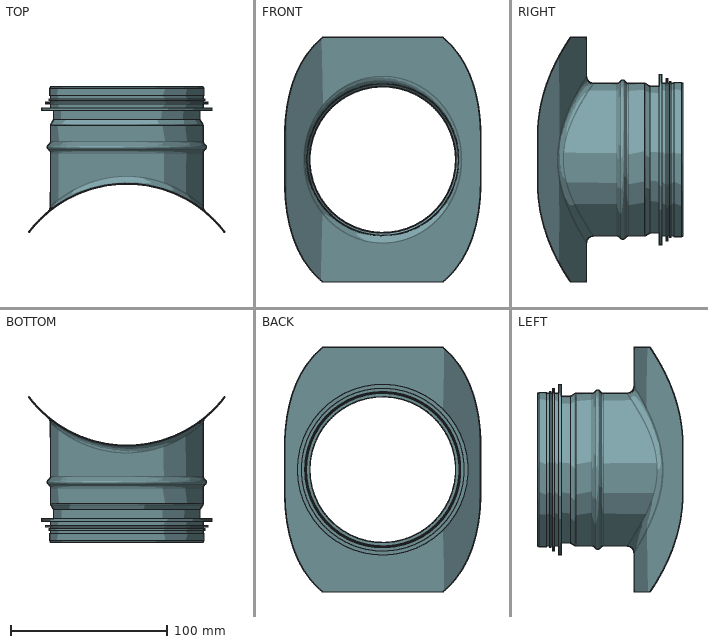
import cadquery as cq
import math


wall = 0.55
saddle_inner_radius = 78.5
saddle_radius = saddle_inner_radius + wall
saddle_height = 157.0
saddle_width = 126.0
corner_radius = 78.5
straight_side = 29.5
root_fillet = 4.4
half_angle = math.asin(saddle_width / 2 / saddle_radius)
total_length = 93.5

pipe_end = saddle_inner_radius * math.cos(half_angle) + total_length
pipe_radius = 98.1 / 2
pipe_bore_radius = 97.0 / 2
neck_radius = 94.2 / 2
neck_bore_radius = 93.3 / 2
shoulder_start = 21.2
shoulder_end = 25.0
shoulder_round_length = 0.8
shoulder_round_depth = 0.2
bead_middle = 38.8
bead_radius = 102.4 / 2
bead_base_width = 7.2
bead_tip_width = 2.8
bead_tip_rise = 0.8
bead_flare_length = 1.1
bead_flare_rise = 0.3
collar_radius = 99.0 / 2
collar_length = 5.8
collar_bevel_length = 1.3
collar_bevel_depth = 0.6

seal_radius = pipe_radius
seal_end = 15.4
lip_thickness = 1.1
flange_thickness = 1.7
flange_start = seal_end - flange_thickness
fins = [
    (100.2 / 2, 7.8, lip_thickness),
    (104.4 / 2, 9.9, lip_thickness),
    (109.5 / 2, flange_start, flange_thickness),
]

trim_overlap = 0.2


def ring(outer, inner, start, length):
    """Tube or disc on the Y axis that starts a distance below the free end of the pipe."""
    profile = cq.Workplane("XZ", origin=(0, pipe_end - start, 0)).circle(outer)
    if inner:
        profile = profile.circle(inner)
    return profile.extrude(length)


def filleted_tee(duct_radius, branch_radius, fillet):
    """Solid duct with a solid branch up to the pipe shoulder, rounded where they meet."""
    duct = cq.Workplane("XY").circle(duct_radius).extrude(saddle_height / 2, both=True)
    branch = ring(branch_radius, 0, shoulder_end, pipe_end - shoulder_end)
    tee = duct.union(branch)
    apex = (0, duct_radius, branch_radius)
    return tee.edges(cq.NearestToPointSelector(apex)).fillet(fillet)


def outline_angle(z):
    """Angle from the Y axis to the plate's edge at height z, from the flat sheet's outline."""
    into_corner = max(0.0, abs(z) - straight_side / 2)
    setback = corner_radius - math.sqrt(corner_radius**2 - into_corner**2)
    return half_angle - setback / saddle_radius


def trim_face(side):
    """Radial faces that follow the wrapped outline on one side (side is -1 or 1)."""
    arc_start = straight_side / 2
    arc_end = saddle_height / 2 + trim_overlap
    arc_steps = 10
    corner_heights = [arc_start + (arc_end - arc_start) * i / arc_steps for i in range(arc_steps + 1)]
    runs = [
        [-z for z in reversed(corner_heights)],
        [-arc_start, arc_start],
        corner_heights,
    ]

    def edge(radius, heights):
        points = [
            cq.Vector(
                side * radius * math.sin(outline_angle(z)),
                radius * math.cos(outline_angle(z)),
                z,
            )
            for z in heights
        ]
        if len(points) == 2:
            return cq.Edge.makeLine(*points)
        return cq.Edge.makeSpline(points)

    inside = saddle_inner_radius - trim_overlap
    outside = saddle_radius + trim_overlap
    faces = [cq.Face.makeRuledSurface(edge(inside, run), edge(outside, run)) for run in runs]
    return cq.Shell.makeShell(faces)


def make_saddle():
    """Rolled plate and lower pipe as one thin shell, trimmed to the plate outline."""
    outer = filleted_tee(saddle_radius, pipe_radius, root_fillet)
    inner = filleted_tee(saddle_inner_radius, pipe_bore_radius, root_fillet + wall)
    shell = outer.cut(inner).val()
    pieces = shell.split(trim_face(-1), trim_face(1)).Solids()
    return cq.Workplane(max(pieces, key=lambda piece: piece.BoundingBox().ymax))


def tangent_arc_middle(length, rise):
    """Middle point (along, across) of a shallow arc that starts along its length."""
    return length / 2, rise / 4


def profile_plane():
    """Half-section plane of the pipe: radius along X, origin on the axis at the free end."""
    return cq.Workplane("XY", origin=(0, pipe_end, 0))


def turned(profile):
    """Close a half section and revolve it about the Y axis."""
    return profile.close().revolve(360, (0, 0, 0), (0, 1, 0))


def make_upper_pipe():
    """Shoulder, neck and hemmed collar, turned about the Y axis."""
    along, across = tangent_arc_middle(shoulder_round_length, shoulder_round_depth)
    return turned(
        profile_plane()
        .moveTo(pipe_bore_radius, -shoulder_end)
        .lineTo(pipe_radius, -shoulder_end)
        .threePointArc(
            (pipe_radius - across, -shoulder_end + along),
            (pipe_radius - shoulder_round_depth, -shoulder_end + shoulder_round_length),
        )
        .lineTo(neck_radius, -shoulder_start)
        .lineTo(neck_radius, -collar_length)
        .lineTo(collar_radius, -collar_length)
        .lineTo(collar_radius, -collar_bevel_length)
        .lineTo(collar_radius - collar_bevel_depth, 0)
        .lineTo(neck_bore_radius, 0)
        .lineTo(neck_bore_radius, -shoulder_start)
    )


def make_bead():
    """Raised stop bead around the pipe with a rounded crest and flared feet."""
    base_half = bead_base_width / 2
    tip_half = bead_tip_width / 2
    crest_start = bead_radius - bead_tip_rise
    flare_half = base_half - bead_flare_length
    flare_radius = pipe_radius + bead_flare_rise
    along, across = tangent_arc_middle(bead_flare_length, bead_flare_rise)
    flare_middle_half = base_half - along
    flare_middle_radius = pipe_radius + across
    return turned(
        profile_plane()
        .moveTo(pipe_bore_radius, -bead_middle + base_half)
        .lineTo(pipe_radius, -bead_middle + base_half)
        .threePointArc(
            (flare_middle_radius, -bead_middle + flare_middle_half),
            (flare_radius, -bead_middle + flare_half),
        )
        .lineTo(crest_start, -bead_middle + tip_half)
        .threePointArc((bead_radius, -bead_middle), (crest_start, -bead_middle - tip_half))
        .lineTo(flare_radius, -bead_middle - flare_half)
        .threePointArc(
            (flare_middle_radius, -bead_middle - flare_middle_half),
            (pipe_radius, -bead_middle - base_half),
        )
        .lineTo(pipe_bore_radius, -bead_middle - base_half)
    )


def make_seal():
    """Rubber sleeve on the neck, against the collar, with three sealing fins."""
    seal = ring(seal_radius, neck_radius, collar_length, seal_end - collar_length)
    for radius, start, thickness in fins:
        seal = seal.union(ring(radius, neck_radius, start, thickness))
    return seal


fitting = make_saddle().union(make_upper_pipe()).union(make_bead())
seal = make_seal()

result = cq.Compound.makeCompound([*fitting.solids().vals(), *seal.solids().vals()])